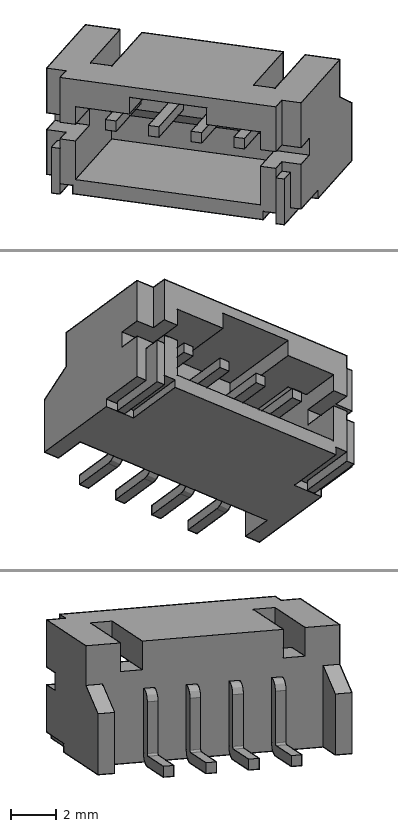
import cadquery as cq
import math

HOUSING_WIDTH = 11.9
HOUSING_HEIGHT = 5.5
HOUSING_DEPTH = 6.0

WING_LENGTH = 1.6
WING_THICKNESS = 0.78
WING_TOP_FRONT = 3.7
WING_SLOPE = math.radians(30)

CAVITY_WIDTH = 8.65
CAVITY_FLOOR = 0.7
CAVITY_ROOF = 4.2
CAVITY_DEPTH = 4.25
KEYWAY_WIDTH = 3.6
KEYWAY_ROOF = 5.0

UNDERCUT_TOP = 2.55
UNDERCUT_SLOPE_BOTTOM = 1.94
UNDERCUT_DEPTH = 0.61

CORNER_NOTCH_WIDTH = 0.9
CORNER_NOTCH_DEPTH = 0.8
SIDE_SLOT_BOTTOM = 2.55
SIDE_SLOT_TOP = 3.35
SIDE_SLOT_DEPTH = 1.9
ROOF_SLOT_WIDTH = 1.02
ROOF_SLOT_FRONT = 2.0
FOOT_NOTCH_WIDTH = 1.5
FOOT_NOTCH_HEIGHT = 0.4
FOOT_NOTCH_DEPTH = 3.05

PIN_COUNT = 4
PIN_PITCH = 2.0
PIN_SIZE = 0.5
PIN_TIP = 0.95
PIN_TOP = SIDE_SLOT_TOP
PIN_END = 8.6
PIN_BEND_RADIUS = 0.5
PIN_LEG_BACK = HOUSING_DEPTH + PIN_BEND_RADIUS
PIN_FOOT_FILLET = 0.1
SEATING_LEVEL = -0.1

TAB_THICKNESS = 0.4
TAB_TOP = 2.1
TAB_REAR = 2.9
TAB_FRONT = -0.01


def box(x_min, x_max, y_min, y_max, z_min, z_max):
    """Axis-aligned box between the given limits."""
    block = cq.Workplane("XY").box(x_max - x_min, y_max - y_min, z_max - z_min, centered=False)
    return block.translate((x_min, y_min, z_min))


def centred_box(width, y_min, y_max, z_min, z_max):
    """Box of the given width, symmetric about x = 0."""
    return box(-width / 2, width / 2, y_min, y_max, z_min, z_max)


def prism(profile_points, x_min, x_max):
    """Extrude a closed polygon of (y, z) points along X."""
    profile = cq.Workplane("YZ").polyline(profile_points).close()
    return profile.extrude(x_max - x_min).translate((x_min, 0, 0))


def both_sides(shape):
    """The shape together with its mirror image across x = 0."""
    return shape.union(shape.mirror("YZ"))


def housing_body():
    """Block with a sloped-top wing behind each side."""
    body = centred_box(HOUSING_WIDTH, 0, HOUSING_DEPTH, 0, HOUSING_HEIGHT)
    wing_end = HOUSING_DEPTH + WING_LENGTH
    wing_top_end = WING_TOP_FRONT - WING_LENGTH * math.tan(WING_SLOPE)
    wing = prism(
        [
            (HOUSING_DEPTH, 0),
            (wing_end, 0),
            (wing_end, wing_top_end),
            (HOUSING_DEPTH, WING_TOP_FRONT),
        ],
        -HOUSING_WIDTH / 2,
        -HOUSING_WIDTH / 2 + WING_THICKNESS,
    )
    return body.union(both_sides(wing))


def cavity():
    """Mating space: main opening, keyway above it and undercut behind it."""
    main = centred_box(CAVITY_WIDTH, 0, CAVITY_DEPTH, CAVITY_FLOOR, CAVITY_ROOF)
    keyway = centred_box(KEYWAY_WIDTH, 0, CAVITY_DEPTH, CAVITY_FLOOR, KEYWAY_ROOF)
    undercut_back = CAVITY_DEPTH + UNDERCUT_DEPTH
    undercut = prism(
        [
            (CAVITY_DEPTH, CAVITY_FLOOR),
            (undercut_back, CAVITY_FLOOR),
            (undercut_back, UNDERCUT_SLOPE_BOTTOM),
            (CAVITY_DEPTH, UNDERCUT_TOP),
        ],
        -CAVITY_WIDTH / 2,
        CAVITY_WIDTH / 2,
    )
    return main.union(keyway).union(undercut)


def housing_cutouts():
    """Corner notches, foot notches, roof slots and side slots on both sides."""
    left = -HOUSING_WIDTH / 2
    corner_notch = box(left, left + CORNER_NOTCH_WIDTH, 0, CORNER_NOTCH_DEPTH, 0, HOUSING_HEIGHT)
    foot_notch = box(left, left + FOOT_NOTCH_WIDTH, 0, FOOT_NOTCH_DEPTH, 0, FOOT_NOTCH_HEIGHT)
    roof_slot = box(
        -CAVITY_WIDTH / 2,
        -CAVITY_WIDTH / 2 + ROOF_SLOT_WIDTH,
        ROOF_SLOT_FRONT,
        HOUSING_DEPTH,
        CAVITY_ROOF,
        HOUSING_HEIGHT,
    )
    side_slot = box(left, -CAVITY_WIDTH / 2, 0, SIDE_SLOT_DEPTH, SIDE_SLOT_BOTTOM, SIDE_SLOT_TOP)
    return both_sides(corner_notch.union(foot_notch).union(roof_slot).union(side_slot))


def arc_middle(start, end, centre):
    """Midpoint of the quarter arc from start to end, in (y, z)."""
    chord_y = (start[0] + end[0]) / 2 - centre[0]
    chord_z = (start[1] + end[1]) / 2 - centre[1]
    return (centre[0] + chord_y * math.sqrt(2), centre[1] + chord_z * math.sqrt(2))


def pin(x_centre):
    """Contact running back through the rear wall, down, and out to a solder foot."""
    leg_front = PIN_LEG_BACK - PIN_SIZE
    pin_bottom = PIN_TOP - PIN_SIZE
    foot_top = SEATING_LEVEL + PIN_SIZE

    upper_start = (PIN_LEG_BACK - PIN_BEND_RADIUS, PIN_TOP)
    upper_end = (PIN_LEG_BACK, PIN_TOP - PIN_BEND_RADIUS)
    upper_centre = (upper_start[0], upper_end[1])
    fillet_start = (PIN_LEG_BACK, foot_top + PIN_FOOT_FILLET)
    fillet_end = (PIN_LEG_BACK + PIN_FOOT_FILLET, foot_top)
    fillet_centre = (fillet_end[0], fillet_start[1])
    lower_start = (leg_front + PIN_BEND_RADIUS, SEATING_LEVEL)
    lower_end = (leg_front, SEATING_LEVEL + PIN_BEND_RADIUS)
    lower_centre = (lower_start[0], lower_end[1])

    profile = (
        cq.Workplane("YZ")
        .moveTo(PIN_TIP, PIN_TOP)
        .lineTo(*upper_start)
        .threePointArc(arc_middle(upper_start, upper_end, upper_centre), upper_end)
        .lineTo(*fillet_start)
        .threePointArc(arc_middle(fillet_start, fillet_end, fillet_centre), fillet_end)
        .lineTo(PIN_END, foot_top)
        .lineTo(PIN_END, SEATING_LEVEL)
        .lineTo(*lower_start)
        .threePointArc(arc_middle(lower_start, lower_end, lower_centre), lower_end)
        .lineTo(leg_front, pin_bottom)
        .lineTo(PIN_TIP, pin_bottom)
        .close()
    )
    return profile.extrude(PIN_SIZE / 2, both=True).translate((x_centre, 0, 0))


def solder_tab():
    """L-shaped tab in the inner part of the left front corner notch, slightly proud of the front face."""
    inner = -HOUSING_WIDTH / 2 + CORNER_NOTCH_WIDTH
    outer = inner - TAB_THICKNESS
    upright = box(outer, inner, TAB_FRONT, CORNER_NOTCH_DEPTH, SEATING_LEVEL, TAB_TOP)
    foot = box(outer, inner, TAB_FRONT, TAB_REAR, SEATING_LEVEL, FOOT_NOTCH_HEIGHT)
    return upright.union(foot)


result = housing_body().cut(cavity()).cut(housing_cutouts())
result = result.union(both_sides(solder_tab()))
first_pin_x = -PIN_PITCH * (PIN_COUNT - 1) / 2
for index in range(PIN_COUNT):
    result = result.union(pin(first_pin_x + index * PIN_PITCH))